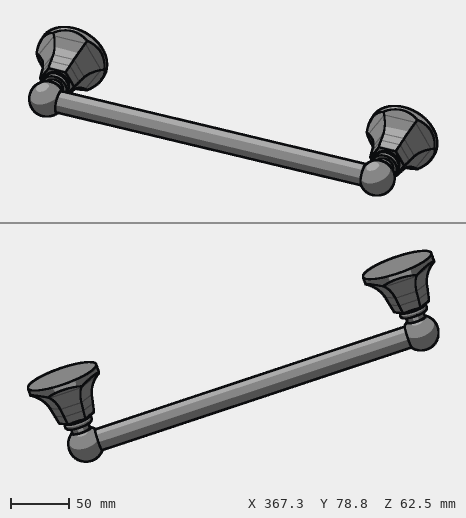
import cadquery as cq
import math

post_spacing = 304.8
flange_radius = 31.24
overall_depth = 78.85
ball_radius = 15.35
ball_standoff = overall_depth - ball_radius

rim_depth = 4.6
shoulder_depth, shoulder_apothem = 9.1, 25.0
waist_depth, waist_apothem = 23.6, 16.5
step_depth, step_apothem = 31.3, 15.2
bevel_depth, bevel_apothem = 38.3, 13.9
tip_depth, tip_apothem = 39.2, 13.5
flare_sag = 1.3
hex_sides = 6

groove_radius = 11.2
groove_width = 1.8
collar_start = tip_depth + groove_width
collar_end = 45.5
collar_radius = 12.2
neck_radius = 8.0
neck_seat_offset = 12.5

bar_radius = 9.525
bar_seat_offset = 11.5


def flare_midpoint():
    """Middle of the concave flare, pulled from its chord towards the post axis."""
    run = waist_depth - shoulder_depth
    drop = shoulder_apothem - waist_apothem
    chord = math.hypot(run, drop)
    middle_apothem = (shoulder_apothem + waist_apothem) / 2 - flare_sag * run / chord
    middle_depth = (shoulder_depth + waist_depth) / 2 - flare_sag * drop / chord
    return middle_apothem, -middle_depth


def flat_pair(angle):
    """Prism carrying two opposite faces of the hexagonal post."""
    middle_apothem, middle_y = flare_midpoint()
    prism = (
        cq.Workplane("XY")
        .moveTo(-flange_radius, 0)
        .lineTo(flange_radius, 0)
        .lineTo(flange_radius, -rim_depth)
        .lineTo(shoulder_apothem, -shoulder_depth)
        .threePointArc((middle_apothem, middle_y), (waist_apothem, -waist_depth))
        .lineTo(step_apothem, -step_depth)
        .lineTo(bevel_apothem, -bevel_depth)
        .lineTo(tip_apothem, -tip_depth)
        .lineTo(-tip_apothem, -tip_depth)
        .lineTo(-bevel_apothem, -bevel_depth)
        .lineTo(-step_apothem, -step_depth)
        .lineTo(-waist_apothem, -waist_depth)
        .threePointArc((-middle_apothem, middle_y), (-shoulder_apothem, -shoulder_depth))
        .lineTo(-flange_radius, -rim_depth)
        .close()
        .extrude(2 * flange_radius, both=True)
    )
    return prism.rotate((0, 0, 0), (0, 1, 0), angle)


def hex_post():
    """Six-sided flared post rising from a round flange, with corners towards +X and -X."""
    corner_angle = 360 / hex_sides
    post = cq.Workplane("XZ").circle(flange_radius).extrude(tip_depth)
    for pair in range(hex_sides // 2):
        post = post.intersect(flat_pair((pair + 0.5) * corner_angle))
    return post


def turned_stem():
    """Groove, rounded collar, neck and ball, turned about the post axis."""
    collar_middle = (collar_start + collar_end) / 2
    neck_end = ball_standoff - neck_seat_offset
    neck_seat_radius = math.sqrt(ball_radius**2 - neck_seat_offset**2)
    return (
        cq.Workplane("YZ")
        .moveTo(-step_depth, 0)
        .lineTo(-step_depth, groove_radius)
        .lineTo(-collar_start, groove_radius)
        .threePointArc((-collar_middle, collar_radius), (-collar_end, groove_radius))
        .lineTo(-collar_end, neck_radius)
        .lineTo(-neck_end, neck_radius)
        .lineTo(-neck_end, neck_seat_radius)
        .threePointArc((-ball_standoff, ball_radius), (-overall_depth, 0))
        .close()
        .revolve(360, (0, 0, 0), (1, 0, 0))
    )


def left_bracket():
    """Post, stem and ball, with the ball cut flat on its +X side for the bar."""
    beyond_flat = (
        cq.Workplane("YZ", origin=(bar_seat_offset, -ball_standoff, 0))
        .circle(ball_radius)
        .extrude(ball_radius)
    )
    stem = turned_stem().cut(beyond_flat)
    return hex_post().union(stem).translate((-post_spacing / 2, 0, 0))


def bar():
    """Round bar joining the two balls along X."""
    left_ball_centre = (-post_spacing / 2, -ball_standoff, 0)
    return cq.Workplane("YZ", origin=left_ball_centre).circle(bar_radius).extrude(post_spacing)


bracket = left_bracket()
result = bracket.union(bracket.mirror("YZ")).union(bar())